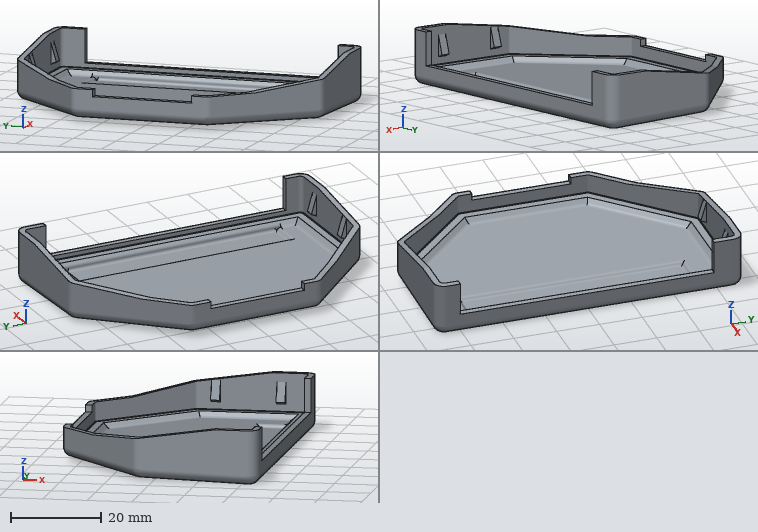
import cadquery as cq
import math

LENGTH = 47.5
WIDTH = 71.8
HEIGHT = 12.35
CORNER_CUT = 20.1
CUT_CORNER_RADIUS = 2.15
SQUARE_CORNER_RADIUS = 2.5
UNDERSIDE_RISE = 1.5
UNDERSIDE_FILLET = 2.0

LOW_RIM_Z = 8.05
SLOPE_START_X = 8.3
SLOPE_END_X = 37.9

WALL = 1.5
LEDGE_STEP = 0.18
LEDGE_Z = 3.6
STEP_Z = LEDGE_Z + 0.15

BASIN_INSET = 3.5
BASIN_DEPTH = 1.3
BASIN_FILLET = 1.3
SIDE_ANGLE = 45

TROUGH_START_X = 36.0
TROUGH_END_X = 43.1
TROUGH_WIDTH = 53.0
TROUGH_CENTRE_Y = -0.7
TROUGH_DEPTH = 0.7
TROUGH_FLOOR_FILLET = 0.7
TROUGH_RIM_FILLET = 0.9
RIM_MARGIN = 0.1

BLUNT_NOTCH_WIDTH = 23.1
BLUNT_NOTCH_CENTRE_Y = -0.4
BLUNT_NOTCH_Z = 6.45
SQUARE_NOTCH_WIDTH = 59.3
SQUARE_NOTCH_CENTRE_Y = -0.7
SQUARE_NOTCH_Z = 4.75

WEDGE_STARTS_X = (24.05, 38.8)
WEDGE_LENGTH = 2.0
WEDGE_REACH = 1.3
WEDGE_BOTTOM_Z = 5.4
WEDGE_TIP_Z = 5.95
WEDGE_TOP_Z = 10.3


def plan_outline(inset):
    """Wire of the body outline, moved inwards by the inset, at Z = 0."""
    half = WIDTH / 2
    blunt_half = half - CORNER_CUT
    outline = cq.Workplane("XY").polyline(
        [
            (0, -blunt_half),
            (CORNER_CUT, -half),
            (LENGTH, -half),
            (LENGTH, half),
            (CORNER_CUT, half),
            (0, blunt_half),
        ]
    ).close()
    return outline.offset2D(-inset) if inset else outline


def rounded_prism(inset):
    """Full-height prism of the inset outline with its upright edges rounded."""
    prism = plan_outline(inset).extrude(HEIGHT)
    prism = prism.edges("|Z and (not >X)").fillet(CUT_CORNER_RADIUS - inset)
    return prism.edges("|Z and >X").fillet(SQUARE_CORNER_RADIUS - inset)


def outer_body():
    side = (
        cq.Workplane("XZ")
        .polyline(
            [
                (0, UNDERSIDE_RISE),
                (LENGTH, 0),
                (LENGTH, HEIGHT),
                (SLOPE_END_X, HEIGHT),
                (SLOPE_START_X, LOW_RIM_Z),
                (0, LOW_RIM_Z),
            ]
        )
        .close()
        .extrude(WIDTH / 2, both=True)
    )
    body = rounded_prism(0).intersect(side)
    return body.faces("<Z").edges().fillet(UNDERSIDE_FILLET)


def basin():
    block = plan_outline(BASIN_INSET).extrude(-BASIN_DEPTH, taper=SIDE_ANGLE)
    block = block.faces("<Z").edges().fillet(BASIN_FILLET)
    return block.translate((0, 0, LEDGE_Z))


def trough():
    full_length = LENGTH - TROUGH_START_X
    middle_x = TROUGH_START_X + full_length / 2
    sunk = cq.Workplane("XY").rect(full_length, TROUGH_WIDTH).extrude(-TROUGH_DEPTH, taper=SIDE_ANGLE)

    rim_flare = TROUGH_RIM_FILLET * math.tan(math.radians(SIDE_ANGLE / 2))
    spread = 2 * (rim_flare + RIM_MARGIN)
    opening = cq.Workplane("XY").rect(full_length + spread, TROUGH_WIDTH + spread).extrude(BASIN_DEPTH)
    rim_edges = cq.selectors.BoxSelector(
        (-full_length / 2 - RIM_MARGIN, -TROUGH_WIDTH / 2 - RIM_MARGIN, -RIM_MARGIN),
        (full_length / 2 + RIM_MARGIN, TROUGH_WIDTH / 2 + RIM_MARGIN, RIM_MARGIN),
    )
    flared = opening.union(sunk).edges(rim_edges).fillet(TROUGH_RIM_FILLET)

    limit = cq.Workplane("XY").box(TROUGH_END_X, WIDTH, HEIGHT, centered=(False, True, True))
    block = flared.translate((middle_x, 0, 0)).intersect(limit)
    block = block.faces("<Z").edges().fillet(TROUGH_FLOOR_FILLET)
    return block.translate((0, TROUGH_CENTRE_Y, LEDGE_Z - BASIN_DEPTH))


def rounded_end_edge(body):
    """Round the edge where the upright trough end meets the basin side."""
    edge_z = LEDGE_Z - (LENGTH - BASIN_INSET - TROUGH_END_X)
    near_edge = cq.selectors.BoxSelector(
        (TROUGH_END_X - RIM_MARGIN, -WIDTH, edge_z - RIM_MARGIN),
        (TROUGH_END_X + RIM_MARGIN, WIDTH, edge_z + RIM_MARGIN),
    )
    return body.edges("|Y").edges(near_edge).fillet(TROUGH_RIM_FILLET)


def end_notch(wall_x, centre_y, width, bottom_z):
    reach = WALL + LEDGE_STEP
    notch = cq.Workplane("XY").box(2 * reach, width, HEIGHT, centered=(True, True, False))
    return notch.translate((wall_x, centre_y, bottom_z))


def snap_wedge(start_x):
    """Wedge on the +Y wall."""
    wall_y = WIDTH / 2 - WALL
    root_y = wall_y + WALL / 2
    return (
        cq.Workplane("YZ")
        .polyline(
            [
                (root_y, WEDGE_BOTTOM_Z),
                (wall_y, WEDGE_BOTTOM_Z),
                (wall_y - WEDGE_REACH, WEDGE_TIP_Z),
                (wall_y, WEDGE_TOP_Z),
                (root_y, WEDGE_TOP_Z),
            ]
        )
        .close()
        .extrude(WEDGE_LENGTH)
        .translate((start_x, 0, 0))
    )


result = rounded_end_edge(outer_body().cut(basin()).cut(trough()))
result = (
    result
    .cut(rounded_prism(WALL).translate((0, 0, STEP_Z)))
    .cut(rounded_prism(WALL + LEDGE_STEP).translate((0, 0, LEDGE_Z)))
    .cut(end_notch(0, BLUNT_NOTCH_CENTRE_Y, BLUNT_NOTCH_WIDTH, BLUNT_NOTCH_Z))
    .cut(end_notch(LENGTH, SQUARE_NOTCH_CENTRE_Y, SQUARE_NOTCH_WIDTH, SQUARE_NOTCH_Z))
)
for start_x in WEDGE_STARTS_X:
    wedge = snap_wedge(start_x)
    result = result.union(wedge).union(wedge.mirror("XZ"))